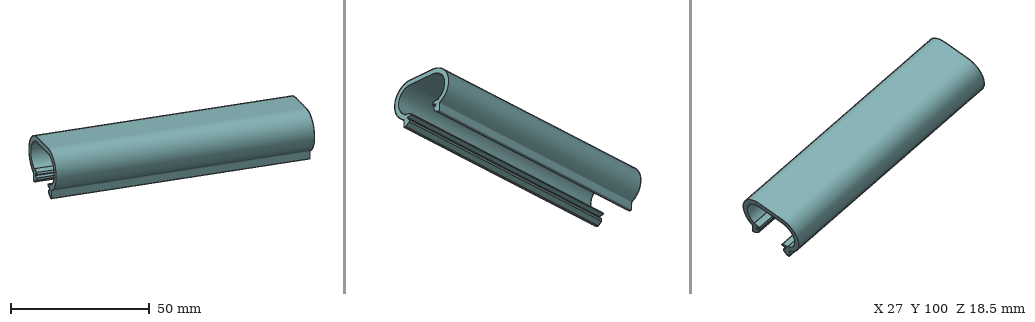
import cadquery as cq
import math

length = 100.0
width = 27.0
height = 18.5

outer_radius = 8.0
wall = 2.0
inner_radius = outer_radius - wall
arc_x = width / 2 - outer_radius
arc_z = -outer_radius

leg_outer_x = 8.9
leg_root_fillet = 0.6
foot_fillet = 0.3
foot_inner_x = 7.8
barb_x = 6.1
barb_top_z = -16.3
barb_bottom_z = -17.2
notch_top_x = 7.1
notch_bottom_x = 6.8
notch_top_z = -15.0
notch_bottom_z = -15.6

lip_root_x = 8.1
lip_top_x = 5.6
lip_top_z = -13.9
lip_tip_x = 5.2
lip_tip_z = -14.6


def lower_arc_z(x, radius):
    """Height of the lower half of a side arc at the given x."""
    return arc_z - math.sqrt(radius**2 - (x - arc_x) ** 2)


def half_profile():
    """Right half of the section, with its straight cut on the centre plane."""
    leg_top = (leg_outer_x, lower_arc_z(leg_outer_x, outer_radius))
    lip_root = (lip_root_x, lower_arc_z(lip_root_x, inner_radius))
    return (
        cq.Workplane("XZ", origin=(0, length / 2, 0))
        .moveTo(0, 0)
        .lineTo(arc_x, 0)
        .threePointArc((arc_x + outer_radius, arc_z), leg_top)
        .lineTo(leg_outer_x, -height)
        .lineTo(foot_inner_x, -height)
        .lineTo(barb_x, barb_bottom_z)
        .lineTo(barb_x, barb_top_z)
        .lineTo(notch_bottom_x, notch_bottom_z)
        .lineTo(notch_top_x, notch_top_z)
        .lineTo(lip_tip_x, lip_tip_z)
        .lineTo(lip_top_x, lip_top_z)
        .lineTo(*lip_root)
        .threePointArc((arc_x + inner_radius, arc_z), (arc_x, -wall))
        .lineTo(0, -wall)
        .close()
    )


def edge_along_y(x, z):
    """Selector for the lengthwise edge nearest to the given section point."""
    return cq.selectors.NearestToPointSelector((x, 0, z))


right_half = (
    half_profile()
    .extrude(length)
    .edges(edge_along_y(leg_outer_x, -height))
    .fillet(foot_fillet)
    .edges(edge_along_y(leg_outer_x, lower_arc_z(leg_outer_x, outer_radius)))
    .fillet(leg_root_fillet)
)
result = right_half.union(right_half.mirror("YZ")).clean()